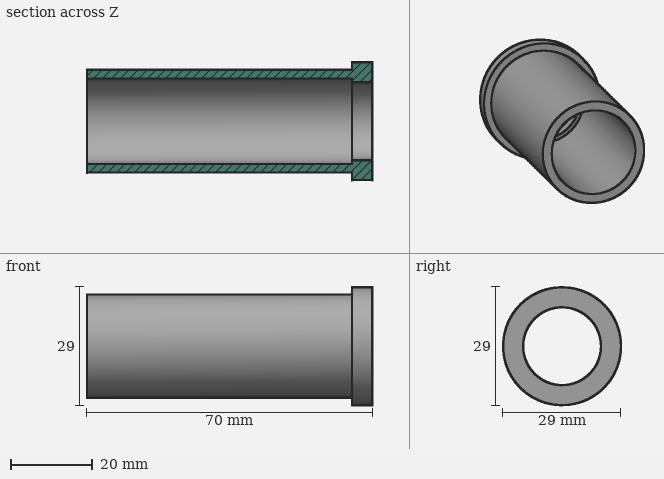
import cadquery as cq

total_length = 70.0
flange_thickness = 5.0
flange_diameter = 29.0
tube_diameter = 25.4

bore_diameter = 20.92
narrow_bore_diameter = 19.05
narrow_bore_length = flange_thickness

start_x = -total_length / 2
flange_start_x = start_x + total_length - flange_thickness
bore_length = total_length - narrow_bore_length


def cylinder_along_x(diameter, x, length):
    """Solid cylinder on the X axis, running from x to x + length."""
    return cq.Workplane("YZ", origin=(x, 0, 0)).circle(diameter / 2).extrude(length)


tube = cylinder_along_x(tube_diameter, start_x, total_length)
flange = cylinder_along_x(flange_diameter, flange_start_x, flange_thickness)
body = tube.union(flange)

wide_bore = cylinder_along_x(bore_diameter, start_x, bore_length)
narrow_bore = cylinder_along_x(narrow_bore_diameter, start_x, total_length)

result = body.cut(wide_bore).cut(narrow_bore)